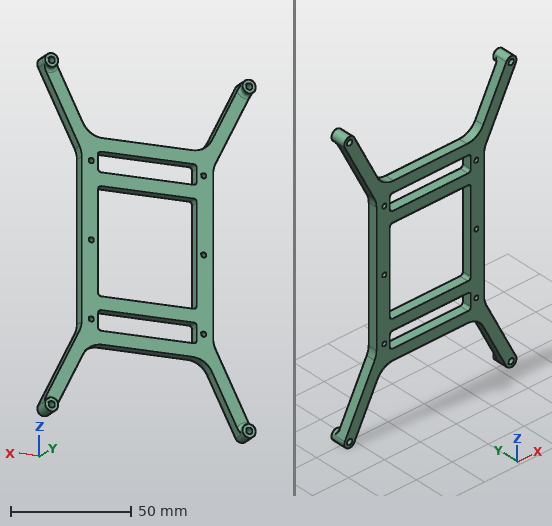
import cadquery as cq
import math

frame_thickness = 5.0
boss_height = 8.0

boss_x = 45.0
boss_z = 75.0
boss_radius = 3.0
boss_hole_diameter = 2.9
boss_fillet = 1.5
arm_slope = 2.0

frame_half_width = 30.0
frame_half_height = 45.0
arm_blend_radius = 10.0

window_width = 45.0
window_corner_radius = 1.5
large_window_height = 48.0
small_window_height = 9.0
crossbar_width = 6.0
small_window_z = large_window_height / 2 + crossbar_width + small_window_height / 2

mount_hole_diameter = 2.3
mount_hole_x = 25.6
mount_hole_pitch = 34.5

arm_angle = math.atan(arm_slope)
side_offset_x = boss_radius * math.sin(arm_angle)
side_offset_z = boss_radius * math.cos(arm_angle)
outer_tangent = (boss_x + side_offset_x, boss_z - side_offset_z)
inner_tangent = (boss_x - side_offset_x, boss_z + side_offset_z)
boss_tip = (
    boss_x + boss_radius * math.cos(arm_angle),
    boss_z + boss_radius * math.sin(arm_angle),
)
shoulder_z = outer_tangent[1] - arm_slope * (outer_tangent[0] - frame_half_width)
armpit_x = inner_tangent[0] - (inner_tangent[1] - frame_half_height) / arm_slope
armpit = (armpit_x, frame_half_height)
shoulder = (frame_half_width, shoulder_z)

quadrants = [(1, 1), (-1, 1), (-1, -1), (1, -1)]
boss_centres = [(sx * boss_x, sz * boss_z) for sx, sz in quadrants]
mount_hole_centres = [
    (side * mount_hole_x, row * mount_hole_pitch) for side in (1, -1) for row in (1, 0, -1)
]


def front_plane():
    """Sketch plane at Y = 0 that extrudes toward +Y; its local y axis is -Z."""
    return cq.Workplane(cq.Plane(origin=(0, 0, 0), xDir=(1, 0, 0), normal=(0, 1, 0)))


def mirrored(point, quadrant):
    """Image of a point of the first quadrant in another quadrant."""
    return (point[0] * quadrant[0], point[1] * quadrant[1])


def round_corners(body, corner, radius):
    """Round the edges along Y at the four mirror images of a corner."""
    for quadrant in quadrants:
        x, z = mirrored(corner, quadrant)
        nearest = cq.selectors.NearestToPointSelector((x, 0, -z))
        body = body.edges("|Y").edges(nearest).fillet(radius)
    return body


def frame_outline():
    """Outline of the frame and its four arms, extruded to the frame thickness."""
    outline = front_plane().moveTo(*shoulder)
    for quadrant in quadrants:
        path = [shoulder, outer_tangent, boss_tip, inner_tangent, armpit]
        if quadrant[0] != quadrant[1]:
            path.reverse()
        start, arc_start, tip, arc_end, end = [mirrored(point, quadrant) for point in path]
        if start != shoulder:
            outline = outline.lineTo(*start)
        outline = outline.lineTo(*arc_start).threePointArc(tip, arc_end).lineTo(*end)
    block = outline.close().extrude(frame_thickness)
    block = round_corners(block, armpit, arm_blend_radius)
    return round_corners(block, shoulder, arm_blend_radius)


def boss_foot(quadrant):
    """Concave fillet between a boss and the arm behind it, as wide as the arm."""
    foot_radius = boss_radius + boss_fillet
    fillet_top = frame_thickness + boss_fillet
    reach = boss_fillet * math.sqrt(0.5)
    collar = (
        cq.Workplane("XY")
        .lineTo(foot_radius, 0)
        .lineTo(foot_radius, frame_thickness)
        .threePointArc((foot_radius - reach, fillet_top - reach), (boss_radius, fillet_top))
        .lineTo(0, fillet_top)
        .close()
        .revolve(360, (0, 0, 0), (0, 1, 0))
    )
    arm_stub = cq.Workplane("XY").box(
        foot_radius, fillet_top, 2 * boss_radius, centered=(False, False, True)
    )
    direction_x, direction_z = mirrored((-1, -arm_slope), quadrant)
    turn = math.degrees(math.atan2(-direction_z, direction_x))
    x, z = mirrored((boss_x, boss_z), quadrant)
    return collar.intersect(arm_stub).rotate((0, 0, 0), (0, 1, 0), turn).translate((x, 0, z))


def frame_with_bosses():
    """Flat frame and arms with a filleted boss at the end of each arm."""
    bosses = front_plane().pushPoints(boss_centres).circle(boss_radius).extrude(boss_height)
    frame = frame_outline().union(bosses)
    for quadrant in quadrants:
        frame = frame.union(boss_foot(quadrant))
    return frame


def window(height, z):
    """Cutter for a rounded rectangular window centred at the given Z."""
    return (
        cq.Workplane("XY")
        .box(window_width, frame_thickness, height, centered=(True, False, True))
        .edges("|Y")
        .fillet(window_corner_radius)
        .translate((0, 0, z))
    )


def holes(diameter, centres):
    """Cutter for through holes along Y."""
    return front_plane().pushPoints(centres).circle(diameter / 2).extrude(boss_height)


result = frame_with_bosses()
result = result.cut(window(large_window_height, 0))
for side in (1, -1):
    result = result.cut(window(small_window_height, side * small_window_z))
result = result.cut(holes(boss_hole_diameter, boss_centres))
result = result.cut(holes(mount_hole_diameter, mount_hole_centres))